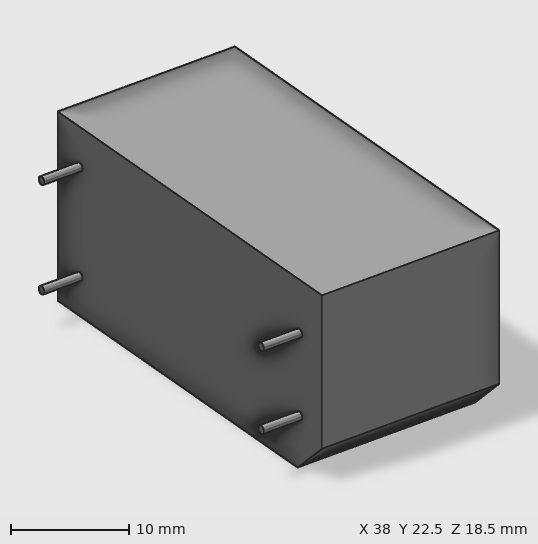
import cadquery as cq

body_length = 38.0
body_height = 18.5
body_depth = 18.5
corner_cut = 3.5

pin_length = 4.0
pin_diameter = 0.8
left_pin_x = 3.2
right_pin_x = 34.77
left_pin_spacing = 10.7
right_pin_spacing = 8.1


def make_body():
    """Block with its lower +X corner cut off along the whole depth."""
    block = cq.Workplane("XY").box(body_length, body_depth, body_height, centered=False)
    return block.edges("|Y").edges(">X and <Z").chamfer(corner_cut)


def make_pin_pair(x, spacing):
    """Two pins at the same X, spaced evenly about mid height."""
    mid_height = body_height / 2
    centers = [(x, mid_height - spacing / 2), (x, mid_height + spacing / 2)]
    return cq.Workplane("XZ").pushPoints(centers).circle(pin_diameter / 2).extrude(pin_length)


result = (
    make_body()
    .union(make_pin_pair(left_pin_x, left_pin_spacing))
    .union(make_pin_pair(right_pin_x, right_pin_spacing))
)